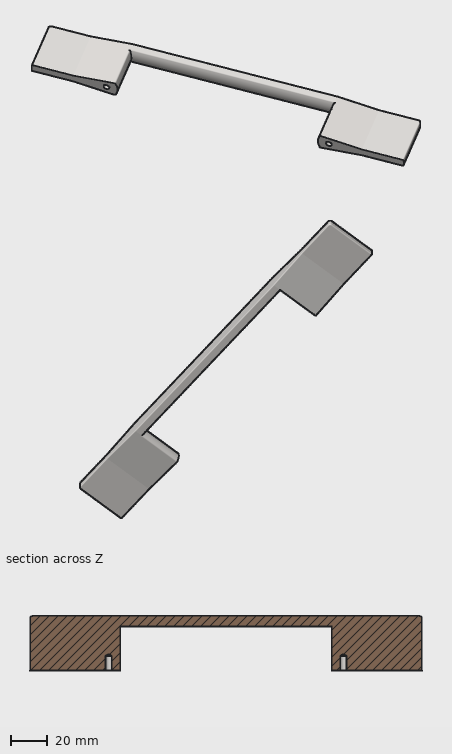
import cadquery as cq
import math

length = 214.0
depth = 30.0
height = 10.0

pad_thickness = 5.0
pad_length = 24.0
wedge_length = 24.0

corner_radius = 1.5
edge_radius = 0.6

bar_depth = 6.0
bow = 1.4
opening_edge_radius = 0.8

hole_diameter = 3.3
hole_depth = 8.0
hole_offset = 64.0
drill_point_angle = 118.0

half_length = length / 2
half_height = height / 2
half_pad = pad_thickness / 2
wedge_start = half_length - pad_length
wedge_end = wedge_start - wedge_length
opening_half = wedge_end - bow
bar_front = depth - bar_depth


def solid_body():
    """Full-depth body: flat pads, wedges and the thicker middle, with rounded back corners."""
    upper = [
        (-half_length, half_pad),
        (-wedge_start, half_pad),
        (-wedge_end, half_height),
        (wedge_end, half_height),
        (wedge_start, half_pad),
        (half_length, half_pad),
    ]
    lower = [(x, -z) for x, z in reversed(upper)]
    body = cq.Workplane("XZ").polyline(upper + lower).close().extrude(-depth)
    return body.edges("|Z and >Y").fillet(corner_radius)


def opening():
    """Space between the feet, in front of the bar; its three walls bow into it."""
    across = (
        cq.Workplane("XZ")
        .moveTo(-wedge_end, -half_height)
        .threePointArc((-opening_half, 0), (-wedge_end, half_height))
        .lineTo(wedge_end, half_height)
        .threePointArc((opening_half, 0), (wedge_end, -half_height))
        .close()
        .extrude(-depth)
    )
    along = (
        cq.Workplane("YZ")
        .moveTo(0, -half_height)
        .lineTo(bar_front + bow, -half_height)
        .threePointArc((bar_front, 0), (bar_front + bow, half_height))
        .lineTo(0, half_height)
        .close()
        .extrude(half_length, both=True)
    )
    return across.intersect(along)


def drilled_hole(x):
    """Blind hole with a conical bottom, entering from the front face."""
    radius = hole_diameter / 2
    point_length = radius / math.tan(math.radians(drill_point_angle / 2))
    return (
        cq.Workplane("XY")
        .polyline([(0, 0), (radius, 0), (radius, hole_depth), (0, hole_depth + point_length)])
        .close()
        .revolve(360, (0, 0), (0, 1))
        .translate((x, 0, 0))
    )


def rounded_outside(body):
    """Round the rims of the back face, the end faces and the corners between them."""
    rims = body.faces(">Y or <X or >X").edges("not(|Z)").edges("not <Y")
    return rims.fillet(edge_radius)


def rounded_opening(body):
    """Round the upper and lower rims of the three bowed walls."""
    margin = 0.1
    around_opening = cq.selectors.BoxSelector(
        (-wedge_end - margin, -margin, -half_height - margin),
        (wedge_end + margin, bar_front + bow + margin, half_height + margin),
        boundingbox=True,
    )
    rims = body.edges(around_opening).edges("|X or |Y").edges(">Z or <Z")
    return rims.fillet(opening_edge_radius)


handle = rounded_outside(solid_body())
handle = rounded_opening(handle.cut(opening()))
for side in (-1, 1):
    handle = handle.cut(drilled_hole(side * hole_offset))
result = handle